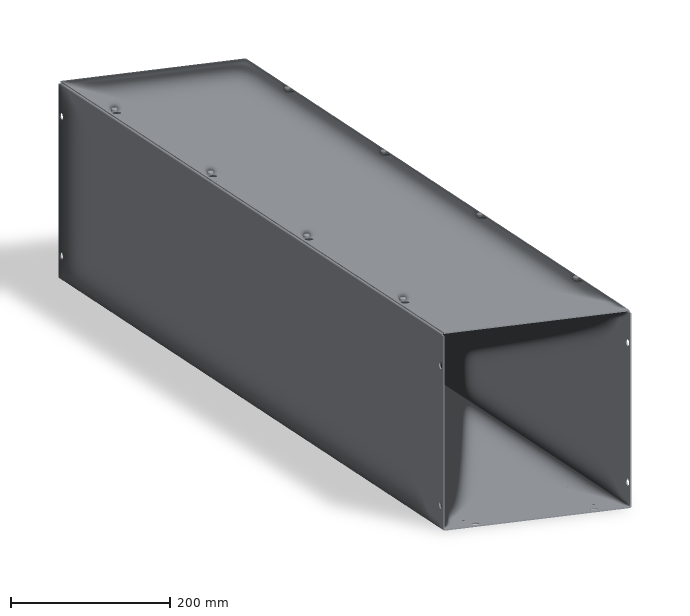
import cadquery as cq

LENGTH = 1219.0
WIDTH = 257.0
SHEET = 1.6
TROUGH_HEIGHT = 257.0
BEND_INNER_RADIUS = 0.6
FLANGE_WIDTH = 17.0
FLANGE_END_INSET = 4.0

MOUNT_DIAMETER = 9.5
MOUNT_END_INSET = 9.0
WALL_HOLE_LOW = 32.0
WALL_HOLE_PITCH = 183.0
FLOOR_HOLE_PITCH = 162.0

PILOT_DIAMETER = 4.1
PILOT_END_INSET = 28.0
PILOT_PITCH = 178.0

COVER_INSET = 1.8
KEYHOLE_SLOT_WIDTH = 4.6
KEYHOLE_ENTRY_DIAMETER = 11.0
KEYHOLE_TRAVEL = 7.0

SCREWS_PER_ROW = 4
SCREW_SIDE_INSET = 10.4
SHANK_DIAMETER = 4.1
SHANK_BELOW_FLANGE = 4.0
HEAD_DIAMETER = 7.9
HEAD_EDGE_RADIUS = 1.8
OVERALL_HEIGHT = 263.0

BEND_OUTER_RADIUS = BEND_INNER_RADIUS + SHEET
FLANGE_BOTTOM = TROUGH_HEIGHT - SHEET
COVER_TOP = TROUGH_HEIGHT + SHEET
SCREW_PITCH = LENGTH / SCREWS_PER_ROW
SCREW_SPOTS = [
    (SCREW_PITCH * (i - (SCREWS_PER_ROW - 1) / 2), side * (WIDTH / 2 - SCREW_SIDE_INSET))
    for i in range(SCREWS_PER_ROW)
    for side in (-1, 1)
]


def upright_cylinder(diameter, bottom, top, spots):
    """Cylinders along Z at the given XY spots."""
    base = cq.Workplane("XY", origin=(0, 0, bottom))
    return base.pushPoints(spots).circle(diameter / 2).extrude(top - bottom)


def end_pairs(end_inset, pitch):
    """Points near both ends, spaced evenly about the middle by the pitch."""
    end = LENGTH / 2 - end_inset
    return [(x, y) for x in (-end, end) for y in (-pitch / 2, pitch / 2)]


def make_section(width, bottom, top, corner_radius):
    """Full-length bar with its four lengthwise edges rounded."""
    bar = cq.Workplane("XY", origin=(0, 0, bottom)).rect(LENGTH, width).extrude(top - bottom)
    return bar.edges("|X").fillet(corner_radius)


def make_top_opening():
    """Space between the flanges, widening at 45 degrees to mitre the flange ends."""
    half_gap = WIDTH / 2 - FLANGE_WIDTH
    outer_y = WIDTH / 2
    mitre_x = LENGTH / 2 - FLANGE_END_INSET
    inner_x = mitre_x - FLANGE_WIDTH
    quarter = [(inner_x, half_gap), (mitre_x, outer_y), (LENGTH / 2, outer_y)]
    right_half = quarter + [(x, -y) for x, y in reversed(quarter)]
    outline = right_half + [(-x, -y) for x, y in right_half]
    base = cq.Workplane("XY", origin=(0, 0, TROUGH_HEIGHT - BEND_OUTER_RADIUS))
    return base.polyline(outline).close().extrude(BEND_OUTER_RADIUS)


def make_trough():
    outside = make_section(WIDTH, 0, TROUGH_HEIGHT, BEND_OUTER_RADIUS)
    inside = make_section(WIDTH - 2 * SHEET, SHEET, FLANGE_BOTTOM, BEND_INNER_RADIUS)
    trough = outside.cut(inside).cut(make_top_opening())

    wall_holes_middle = WALL_HOLE_LOW + WALL_HOLE_PITCH / 2
    wall_holes = (
        cq.Workplane("XZ", origin=(0, 0, wall_holes_middle))
        .pushPoints(end_pairs(MOUNT_END_INSET, WALL_HOLE_PITCH))
        .circle(MOUNT_DIAMETER / 2)
        .extrude(WIDTH, both=True)
    )
    trough = trough.cut(wall_holes)

    mount_spots = end_pairs(MOUNT_END_INSET, FLOOR_HOLE_PITCH)
    trough = trough.cut(upright_cylinder(MOUNT_DIAMETER, 0, SHEET, mount_spots))
    pilot_spots = end_pairs(PILOT_END_INSET, PILOT_PITCH)
    trough = trough.cut(upright_cylinder(PILOT_DIAMETER, 0, SHEET, pilot_spots))

    return trough.cut(upright_cylinder(SHANK_DIAMETER, FLANGE_BOTTOM, TROUGH_HEIGHT, SCREW_SPOTS))


def make_cover():
    base = cq.Workplane("XY", origin=(0, 0, TROUGH_HEIGHT))
    cover = base.rect(LENGTH - 2 * COVER_INSET, WIDTH - 2 * COVER_INSET).extrude(SHEET)

    entry_spots = [(x + KEYHOLE_TRAVEL, y) for x, y in SCREW_SPOTS]
    slot_spots = [(x + KEYHOLE_TRAVEL / 2, y) for x, y in SCREW_SPOTS]
    slot_length = KEYHOLE_TRAVEL + KEYHOLE_SLOT_WIDTH
    slots = base.pushPoints(slot_spots).slot2D(slot_length, KEYHOLE_SLOT_WIDTH).extrude(SHEET)
    entries = upright_cylinder(KEYHOLE_ENTRY_DIAMETER, TROUGH_HEIGHT, COVER_TOP, entry_spots)
    return cover.cut(slots).cut(entries)


def make_screw(spot):
    """Screw with its round, pan-shaped head resting on the cover."""
    shank_bottom = FLANGE_BOTTOM - SHANK_BELOW_FLANGE
    shank = upright_cylinder(SHANK_DIAMETER, shank_bottom, COVER_TOP, [spot])
    head = upright_cylinder(HEAD_DIAMETER, COVER_TOP, OVERALL_HEIGHT, [spot])
    head = head.faces(">Z").edges().fillet(HEAD_EDGE_RADIUS)
    return shank.union(head)


trough = make_trough()
cover = make_cover()
screws = [make_screw(spot) for spot in SCREW_SPOTS]

bodies = [trough, cover, *screws]
result = cq.Compound.makeCompound([body.solids().val() for body in bodies])